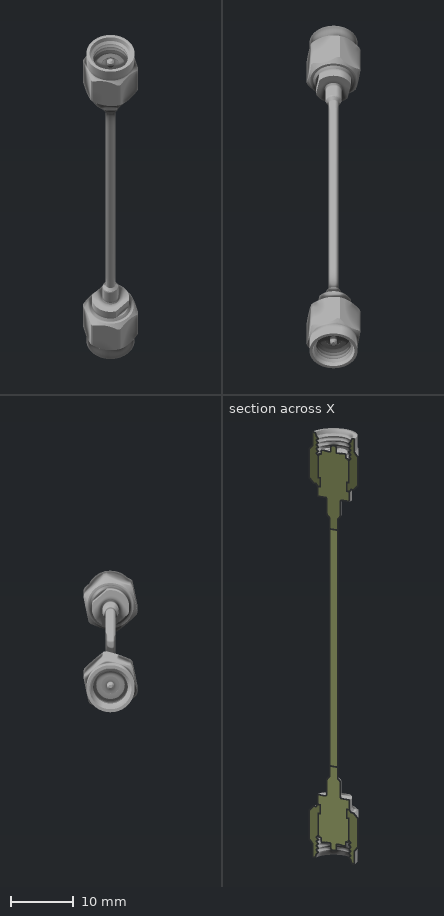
import cadquery as cq
import math

total_length = 71.1
half_length = total_length / 2

across_flats = 8.0
corner_radius = 4.5
sleeve_radius = 3.85
hex_start = 2.2
hex_end = 8.6
front_bevel_length = 0.7
rear_bevel_length = 0.8
rear_face_radius = 3.7
collar_large_radius = 3.3
collar_small_radius = 2.9
nut_length = 9.0

mouth_radius = 3.35
mouth_depth = 0.65
crest_radius = 2.8
root_radius = 3.1
thread_pitch = 0.7
thread_count = 4
thread_start = mouth_depth + thread_pitch / 2
shoulder_depth = 7.5

cable_radius = 0.8
face_depth = 2.8
head_radius = 2.3
retainer_depth = 3.5
shank_radius = 2.4
insulator_radius = 1.4
insulator_recess = 0.1
pin_radius = 0.6
pin_tip_radius = 0.3
pin_tip_length = 0.3
pin_start = 1.7
flange_radius = 3.0
flange_start = nut_length
flange_end = 10.7
flange_across_flats = 5.1
root_bevel_radius = 1.4
root_bevel_length = 0.2
ferrule_radius = 1.3
ferrule_end = 13.3
shoulder_radius = 1.2
shoulder_end = 13.5
neck_start = 13.95
body_length = 15.7

cable_length = total_length - 2 * body_length


def revolve(points):
    """Solid of revolution about Z from (radius, depth) points."""
    profile = cq.Workplane("XZ").polyline(points).close()
    return profile.revolve(360, (0, 0, 0), (0, 1, 0))


def nut_envelope():
    """Turned outside of the nut, which also bevels the hexagon's corners."""
    return revolve([
        (0, 0),
        (sleeve_radius, 0),
        (sleeve_radius, hex_start),
        (corner_radius, hex_start + front_bevel_length),
        (corner_radius, hex_end - rear_bevel_length),
        (rear_face_radius, hex_end),
        (collar_large_radius, hex_end),
        (collar_small_radius, nut_length),
        (0, nut_length),
    ])


def nut_bore():
    """Tapered mouth, thread grooves, clearance bore and the hole for the shank."""
    half_pitch = thread_pitch / 2
    points = [(0, 0), (mouth_radius, 0), (root_radius, mouth_depth), (crest_radius, thread_start)]
    for index in range(thread_count):
        groove_start = thread_start + index * thread_pitch
        points.append((root_radius, groove_start + half_pitch))
        points.append((crest_radius, groove_start + thread_pitch))
    points += [
        (crest_radius, shoulder_depth),
        (shank_radius, shoulder_depth),
        (shank_radius, nut_length),
        (0, nut_length),
    ]
    return revolve(points)


def make_nut():
    """Hexagonal coupling nut with two flats facing -X and +X."""
    hexagon_half_angle = math.pi / 6
    corner_diameter = across_flats / math.cos(hexagon_half_angle)
    hexagon = (
        cq.Workplane("XY")
        .polygon(6, corner_diameter)
        .extrude(nut_length)
        .rotate((0, 0, 0), (0, 0, 1), math.degrees(hexagon_half_angle))
    )
    return hexagon.intersect(nut_envelope()).cut(nut_bore())


def wrench_flat_waste():
    """Material removed on the -X and +X sides of the rear flange."""
    flange_diameter = 2 * flange_radius
    flat_offset = flange_across_flats / 2
    cutter_center = flat_offset + flange_diameter / 2
    return (
        cq.Workplane("XY", origin=(0, 0, flange_start))
        .pushPoints([(-cutter_center, 0), (cutter_center, 0)])
        .rect(flange_diameter, flange_diameter)
        .extrude(flange_end - flange_start)
    )


def make_body():
    """Contact pin, head, retaining shoulder, flange, ferrule and neck in one piece."""
    turned = revolve([
        (0, pin_start),
        (pin_tip_radius, pin_start),
        (pin_radius, pin_start + pin_tip_length),
        (pin_radius, face_depth + insulator_recess),
        (insulator_radius, face_depth + insulator_recess),
        (insulator_radius, face_depth),
        (head_radius, face_depth),
        (head_radius, retainer_depth),
        (crest_radius, retainer_depth),
        (crest_radius, shoulder_depth),
        (shank_radius, shoulder_depth),
        (shank_radius, flange_start),
        (flange_radius, flange_start),
        (flange_radius, flange_end),
        (root_bevel_radius, flange_end),
        (ferrule_radius, flange_end + root_bevel_length),
        (ferrule_radius, ferrule_end),
        (shoulder_radius, shoulder_end),
        (cable_radius, neck_start),
        (cable_radius, body_length),
        (0, body_length),
    ])
    return turned.cut(wrench_flat_waste())


def at_both_ends(part):
    """Copies of a plug part at the lower and the upper end of the cable."""
    lower = part.translate((0, 0, -half_length))
    return [lower.val(), lower.mirror("XY").val()]


cable = (
    cq.Workplane("XY", origin=(0, 0, -cable_length / 2))
    .circle(cable_radius)
    .extrude(cable_length)
)
nuts = at_both_ends(make_nut())
bodies = at_both_ends(make_body())

result = cq.Compound.makeCompound([cable.val(), *nuts, *bodies])